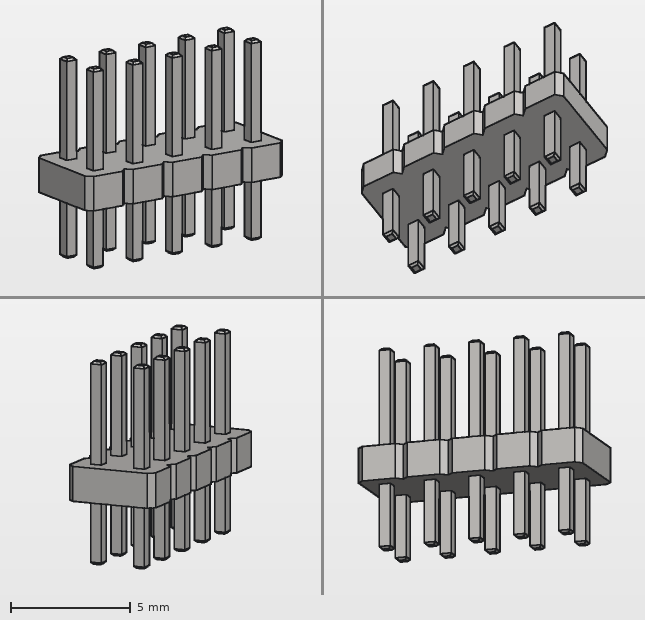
import cadquery as cq

pitch = 2.0
columns = 2
rows = 5

body_width = columns * pitch
body_height = 1.5
corner_chamfer = 0.27

pin_width = 0.5
pin_above = 4.4
pin_below = 2.8
pin_length = pin_below + body_height + pin_above
tip_bevel = 0.1


def make_body():
    """Row blocks with chamfered upright edges; neighbouring chamfers meet as V notches."""
    row_block = (
        cq.Workplane("XY")
        .box(body_width, pitch, body_height, centered=(True, True, False))
        .edges("|Z")
        .chamfer(corner_chamfer)
        .val()
    )
    row_centers = cq.Workplane("XY").rarray(pitch, pitch, 1, rows)
    return row_centers.eachpoint(lambda location: row_block.moved(location), combine=True).clean()


def make_pins():
    """Grid of square pins with a bevelled tip at each end."""
    pin = (
        cq.Workplane("XY")
        .workplane(offset=-pin_below)
        .box(pin_width, pin_width, pin_length, centered=(True, True, False))
        .faces("<Z or >Z")
        .chamfer(tip_bevel)
        .val()
    )
    pin_centers = cq.Workplane("XY").rarray(pitch, pitch, columns, rows)
    return pin_centers.eachpoint(lambda location: pin.moved(location))


result = make_body().union(make_pins())